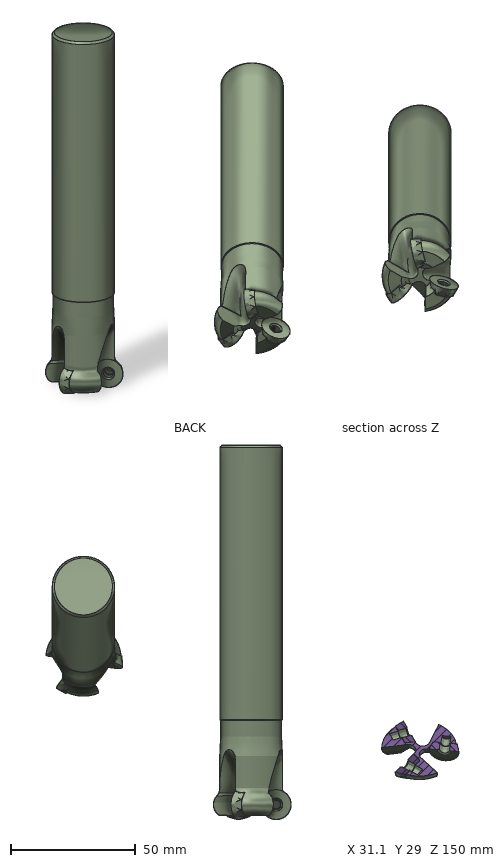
import cadquery as cq
import math

TOTAL_LENGTH = 150.0
INSERT_COUNT = 3
FIRST_INSERT_ANGLE = 60.0
INSERT_PITCH = 360.0 / INSERT_COUNT

INSERT_RADIUS = 6.0
INSERT_THICKNESS = 4.0
FLANK_ANGLE = 11.0
FLAT_COUNT = 8
FLAT_BASE_APOTHEM = 4.8
FLAT_TAPER_ANGLE = 19.0
CUTTING_RADIUS = 16.0
INSERT_CENTER_RADIUS = CUTTING_RADIUS - INSERT_RADIUS
INSERT_CENTER_Z = INSERT_RADIUS

INSERT_HOLE_DIAMETER = 4.0
COUNTERSINK_DIAMETER = 5.2
COUNTERSINK_ANGLE = math.radians(90.0)
SCREW_HOLE_DIAMETER = 3.5
SCREW_HOLE_DEPTH = 3.7

SHANK_RADIUS = 25.0 / 2
SHANK_CHAMFER = 0.9
NECK_RADIUS = 24.5 / 2
HEAD_RADIUS = 12.6
SHANK_BOTTOM_Z = 40.0
NECK_BOTTOM_Z = 33.1
HEAD_TOP_Z = 25.3
NECK_STEP = 0.3
BODY_BOTTOM_Z = 1.6
RIM_RADIUS = 15.1
RIM_ROUND_RADIUS = RIM_RADIUS - INSERT_CENTER_RADIUS
RIM_FILLET_RADIUS = 4.6

DISH_TOP_Z = 4.0
DISH_TOP_RADIUS = 4.5
DISH_MOUTH_RADIUS = 7.5

POCKET_WALL_ANGLE = math.radians(44.0)
POCKET_LENGTH = 24.0
LOWER_CORNER_X = 3.7
LOWER_CORNER_RADIUS = 2.8
LOWER_RUNOUT_START_Z = 6.7
LOWER_RUNOUT_RADIUS = 19.5
UPPER_CORNER_X = 5.0
UPPER_CORNER_RADIUS = 3.7
UPPER_RUNOUT_START_Z = 4.5
UPPER_RUNOUT_RADIUS = 26.2
LEDGE_Z = 11.7
LEDGE_SLOPE = math.radians(65.0)


def make_turned_body():
    """Shank, neck and head with the rounded rim that backs the inserts."""
    fillet_x = HEAD_RADIUS + RIM_FILLET_RADIUS
    reach_x = fillet_x - INSERT_CENTER_RADIUS
    reach = RIM_ROUND_RADIUS + RIM_FILLET_RADIUS
    reach_z = math.sqrt(reach**2 - reach_x**2)
    fillet_z = INSERT_CENTER_Z + reach_z
    tangent_angle = math.atan2(reach_z, reach_x)

    def rim_point(angle):
        return (
            INSERT_CENTER_RADIUS + RIM_ROUND_RADIUS * math.cos(angle),
            INSERT_CENTER_Z + RIM_ROUND_RADIUS * math.sin(angle),
        )

    bottom_angle = math.asin((BODY_BOTTOM_Z - INSERT_CENTER_Z) / RIM_ROUND_RADIUS)
    fillet_middle = math.pi + tangent_angle / 2
    fillet_middle_point = (
        fillet_x + RIM_FILLET_RADIUS * math.cos(fillet_middle),
        fillet_z + RIM_FILLET_RADIUS * math.sin(fillet_middle),
    )
    return (
        cq.Workplane("XZ")
        .moveTo(0, BODY_BOTTOM_Z)
        .lineTo(*rim_point(bottom_angle))
        .threePointArc(rim_point(0), rim_point(tangent_angle))
        .threePointArc(fillet_middle_point, (HEAD_RADIUS, fillet_z))
        .lineTo(HEAD_RADIUS, HEAD_TOP_Z)
        .lineTo(NECK_RADIUS, NECK_BOTTOM_Z)
        .lineTo(NECK_RADIUS, SHANK_BOTTOM_Z - NECK_STEP)
        .lineTo(SHANK_RADIUS, SHANK_BOTTOM_Z)
        .lineTo(SHANK_RADIUS, TOTAL_LENGTH - SHANK_CHAMFER)
        .lineTo(SHANK_RADIUS - SHANK_CHAMFER, TOTAL_LENGTH)
        .lineTo(0, TOTAL_LENGTH)
        .close()
        .revolve(360, (0, 0, 0), (0, 1, 0))
    )


def make_dish():
    """Conical recess in the lower end of the body."""
    return (
        cq.Workplane("XY", origin=(0, 0, BODY_BOTTOM_Z))
        .circle(DISH_MOUTH_RADIUS)
        .workplane(offset=DISH_TOP_Z - BODY_BOTTOM_Z)
        .circle(DISH_TOP_RADIUS)
        .loft()
    )


def insert_plane():
    return cq.Workplane("XZ", origin=(INSERT_CENTER_RADIUS, 0, INSERT_CENTER_Z))


def make_insert_blank():
    """Conical disc that narrows away from its cutting face."""
    return insert_plane().circle(INSERT_RADIUS).extrude(-INSERT_THICKNESS, taper=FLANK_ANGLE)


def make_insert_shape():
    """Insert without its hole: the disc with tapered flats around its base."""
    flats = (
        insert_plane()
        .workplane(offset=-INSERT_THICKNESS)
        .polygon(FLAT_COUNT, 2 * FLAT_BASE_APOTHEM, circumscribed=True)
        .extrude(INSERT_THICKNESS, taper=-FLAT_TAPER_ANGLE)
    )
    return make_insert_blank().intersect(flats)


def make_insert():
    """Insert with its countersunk clamping hole."""
    hole = insert_plane().circle(INSERT_HOLE_DIAMETER / 2).extrude(-INSERT_THICKNESS)
    sink_depth = COUNTERSINK_DIAMETER / 2 / math.tan(COUNTERSINK_ANGLE / 2)
    sink = cq.Workplane(
        cq.Solid.makeCone(
            COUNTERSINK_DIAMETER / 2,
            0,
            sink_depth,
            cq.Vector(INSERT_CENTER_RADIUS, 0, INSERT_CENTER_Z),
            cq.Vector(0, 1, 0),
        )
    )
    return make_insert_shape().cut(hole).cut(sink)


def make_seat():
    """Recess that fits the insert, open all along the outer half, with the screw hole."""
    block_size = 4 * INSERT_RADIUS
    outer_half = (
        cq.Workplane("XY")
        .box(block_size, block_size, block_size, centered=(False, True, True))
        .translate((INSERT_CENTER_RADIUS, 0, INSERT_CENTER_Z))
    )
    screw_hole = (
        insert_plane()
        .circle(SCREW_HOLE_DIAMETER / 2)
        .extrude(-(INSERT_THICKNESS + SCREW_HOLE_DEPTH))
    )
    open_side = make_insert_blank().intersect(outer_half)
    return make_insert_shape().union(open_side).union(screw_hole)


def make_groove(corner_x, corner_radius, start_z, runout_radius):
    """Groove along the tool that curves outwards above its straight part.

    Its section has a wall on y = 0 and a slanting back wall, joined by a rounded corner.
    """
    half_angle = POCKET_WALL_ANGLE / 2
    wall_x = math.cos(POCKET_WALL_ANGLE)
    wall_y = -math.sin(POCKET_WALL_ANGLE)
    tangent_length = corner_radius / math.tan(half_angle)
    floor_distance = corner_radius / math.sin(half_angle) - corner_radius
    section = (
        cq.Workplane("XY", origin=(-corner_x, 0, start_z))
        .moveTo(POCKET_LENGTH, 0)
        .lineTo(tangent_length, 0)
        .threePointArc(
            (floor_distance * math.cos(half_angle), -floor_distance * math.sin(half_angle)),
            (tangent_length * wall_x, tangent_length * wall_y),
        )
        .lineTo(POCKET_LENGTH * wall_x, POCKET_LENGTH * wall_y)
        .lineTo(POCKET_LENGTH, POCKET_LENGTH * wall_y)
        .close()
        .val()
    )
    runout_x = tangent_length - corner_x + runout_radius
    axis_start = cq.Vector(runout_x, 0, start_z)
    axis_end = cq.Vector(runout_x, 1.5, start_z)
    runout = cq.Solid.revolve(section, [], 90, axis_start, axis_end)
    straight = cq.Solid.extrudeLinear(section, [], cq.Vector(0, 0, -start_z))
    return cq.Workplane(straight).union(cq.Workplane(runout))


def make_space_above_ledge():
    """Block above the steep ledge on which the upper groove ends."""
    along_ledge = (math.cos(POCKET_WALL_ANGLE), -math.sin(POCKET_WALL_ANGLE), 0)
    normal = (
        math.sin(LEDGE_SLOPE) * math.sin(POCKET_WALL_ANGLE),
        math.sin(LEDGE_SLOPE) * math.cos(POCKET_WALL_ANGLE),
        math.cos(LEDGE_SLOPE),
    )
    ledge_plane = cq.Plane(origin=(-UPPER_CORNER_X, 0, LEDGE_Z), xDir=along_ledge, normal=normal)
    block_size = 4 * POCKET_LENGTH
    return cq.Workplane(ledge_plane).rect(block_size, block_size).extrude(block_size)


def make_pocket():
    """Both grooves together, the upper one ending on the ledge."""
    lower = make_groove(LOWER_CORNER_X, LOWER_CORNER_RADIUS, LOWER_RUNOUT_START_Z, LOWER_RUNOUT_RADIUS)
    upper = make_groove(UPPER_CORNER_X, UPPER_CORNER_RADIUS, UPPER_RUNOUT_START_Z, UPPER_RUNOUT_RADIUS)
    return lower.union(upper.intersect(make_space_above_ledge()))


def at_angle(shape, angle):
    """Shape turned about the tool axis."""
    return shape.rotate((0, 0, 0), (0, 0, 1), angle)


body = make_turned_body().cut(make_dish())
pocket = make_pocket()
seat = make_seat()
insert = make_insert()
inserts = []
for index in range(INSERT_COUNT):
    angle = FIRST_INSERT_ANGLE + index * INSERT_PITCH
    body = body.cut(at_angle(pocket, angle)).cut(at_angle(seat, angle))
    inserts.append(at_angle(insert, angle).val())

result = cq.Compound.makeCompound([body.val(), *inserts])